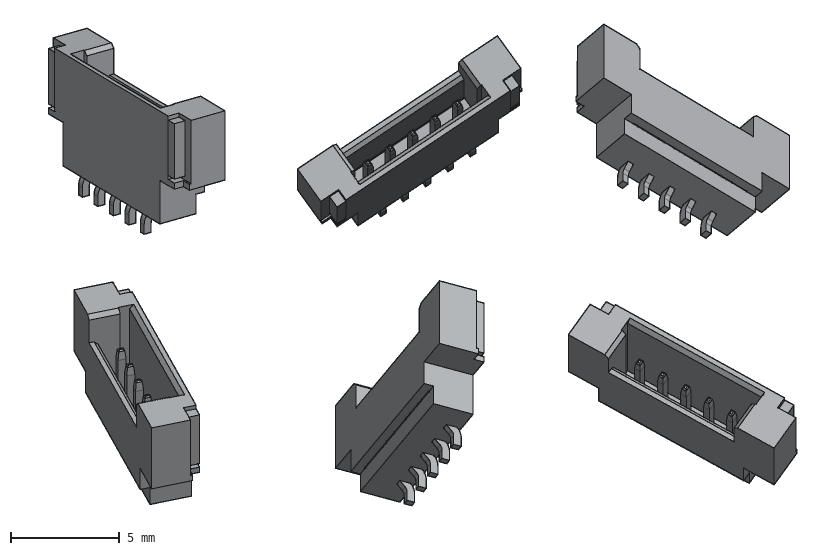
import cadquery as cq
import math

overall_width = 11.2
depth = 2.5
wing_height = 3.5
body_height = 5.7
overall_height = 6.7
body_width = 7.88
front_y = -depth / 2
back_y = depth / 2
back_step_depth = 0.48
back_step_z = -4.72

pocket_width = 1.0
pocket_depth = 0.6
pocket_height = 3.2
ledge_notch_width = 0.49
ledge_notch_depth = 0.5
key_clearance = 0.01
key_width = pocket_width - ledge_notch_width - key_clearance
key_top_z = -0.2
key_bottom_z = -3.0

cavity_width = 7.32
rib_gap = 6.83
front_wall = 0.45
back_wall = 0.45
rib_length = 1.51
back_wall_top_z = -1.5
floor_z = back_step_z
lead_in = 0.2

contact_count = 5
contact_pitch = 1.25
contact_width = 0.31
contact_thickness = 0.39
pin_top_z = back_wall_top_z
pin_neck_width = 0.22
pin_neck_thickness = 0.29
pin_neck_height = 0.45
pin_tip_width = 0.1
pin_tip_thickness = 0.15
pin_tip_height = 0.07
tail_outer_radius = 0.72
tail_inner_radius = tail_outer_radius - contact_thickness
tail_bend_angle = math.radians(45)


def block(x_min, x_max, y_min, y_max, z_min, z_max):
    """Axis-aligned box between two opposite corners."""
    size = (x_max - x_min, y_max - y_min, z_max - z_min)
    return cq.Workplane("XY").box(*size, centered=False).translate((x_min, y_min, z_min))


def centred_block(width, y_min, y_max, z_min, z_max):
    """Box symmetric about X = 0."""
    return block(-width / 2, width / 2, y_min, y_max, z_min, z_max)


def mirrored_pair(feature):
    """A feature together with its mirror image across X = 0."""
    return feature.union(feature.mirror("YZ"))


def make_housing():
    """T-shaped block with its lower back edge stepped in."""
    wings = centred_block(overall_width, front_y, back_y, -wing_height, 0)
    body = centred_block(body_width, front_y, back_y, -body_height, 0)
    back_step = centred_block(body_width, back_y - back_step_depth, back_y, -body_height, back_step_z)
    return wings.union(body).cut(back_step)


def side_pockets():
    """Pocket with its floor ledge notched at the outer corner and a key standing inside."""
    left = -overall_width / 2
    key_left = left + ledge_notch_width
    floor_y = front_y + pocket_depth
    pocket = block(left, left + pocket_width, front_y, floor_y, -pocket_height, 0)
    notch = block(left, key_left, front_y, front_y + ledge_notch_depth, -wing_height, -pocket_height)
    key = block(key_left, key_left + key_width, front_y, floor_y, key_bottom_z, key_top_z)
    return mirrored_pair(pocket.union(notch).cut(key))


def lead_in_prism(plane, length, start):
    """45 degree prism that bevels a top edge through start, toward the plane's local +x."""
    return (
        cq.Workplane(plane)
        .polyline([(0, 0), (lead_in, 0), (0, -lead_in)])
        .close()
        .extrude(length)
        .translate(start)
    )


def mating_cavity():
    """Cavity wide at the front, narrowed by a rib on each side and open over the low back wall."""
    front_inner_y = front_y + front_wall
    back_inner_y = back_y - back_wall
    rib_front_y = back_y - rib_length

    wide = centred_block(cavity_width, front_inner_y, rib_front_y, floor_z, 0)
    narrow = centred_block(rib_gap, rib_front_y, back_inner_y, floor_z, 0)
    back_opening = centred_block(rib_gap, back_inner_y, back_y, back_wall_top_z, 0)

    rib_bevels = mirrored_pair(lead_in_prism("XZ", rib_length, (rib_gap / 2, back_y, 0)))
    back_bevel = lead_in_prism("YZ", rib_gap, (-rib_gap / 2, back_inner_y, back_wall_top_z))
    front_bevel = (
        lead_in_prism("YZ", cavity_width, (-cavity_width / 2, 0, 0))
        .mirror("XZ")
        .translate((0, front_inner_y, 0))
    )
    cavity = wide.union(narrow).union(back_opening)
    return cavity.union(rib_bevels).union(back_bevel).union(front_bevel)


def taper(base, top, base_z, height):
    """Rectangular frustum; base and top are (width, thickness) pairs."""
    return (
        cq.Workplane("XY", origin=(0, 0, base_z))
        .rect(*base)
        .workplane(offset=height)
        .rect(*top)
        .loft(combine=True)
    )


def make_pin():
    """Straight contact pin whose end tapers steeply, then bluntly to a small flat."""
    section = (contact_width, contact_thickness)
    neck = (pin_neck_width, pin_neck_thickness)
    tip = (pin_tip_width, pin_tip_thickness)
    neck_z = pin_top_z - pin_tip_height
    shoulder_z = neck_z - pin_neck_height
    half_thickness = contact_thickness / 2
    shaft = centred_block(contact_width, -half_thickness, half_thickness, floor_z, shoulder_z)
    steep_taper = taper(section, neck, shoulder_z, pin_neck_height)
    blunt_taper = taper(neck, tip, neck_z, pin_tip_height)
    return shaft.union(steep_taper).union(blunt_taper)


def make_tail():
    """Solder tail leaving the housing bottom at an angle and bending straight down."""
    centre_y = front_y + tail_outer_radius
    centre_z = -body_height - tail_outer_radius * math.sin(tail_bend_angle)

    def bend_point(radius, angle):
        return (centre_y - radius * math.cos(angle), centre_z + radius * math.sin(angle))

    half_bend = tail_bend_angle / 2
    inner_end = bend_point(tail_inner_radius, tail_bend_angle)
    slant_rise = -body_height - inner_end[1]
    inner_top = (inner_end[0] + slant_rise / math.tan(tail_bend_angle), -body_height)
    return (
        cq.Workplane("YZ", origin=(-contact_width / 2, 0, 0))
        .moveTo(front_y, -overall_height)
        .lineTo(*bend_point(tail_outer_radius, 0))
        .threePointArc(
            bend_point(tail_outer_radius, half_bend), bend_point(tail_outer_radius, tail_bend_angle)
        )
        .lineTo(*inner_top)
        .lineTo(*inner_end)
        .threePointArc(bend_point(tail_inner_radius, half_bend), bend_point(tail_inner_radius, 0))
        .lineTo(front_y + contact_thickness, -overall_height)
        .close()
        .extrude(contact_width)
    )


result = make_housing().cut(side_pockets()).cut(mating_cavity())
pin = make_pin()
tail = make_tail()
for index in range(contact_count):
    contact_x = (index - (contact_count - 1) / 2) * contact_pitch
    result = result.union(pin.translate((contact_x, 0, 0)))
    result = result.union(tail.translate((contact_x, 0, 0)))